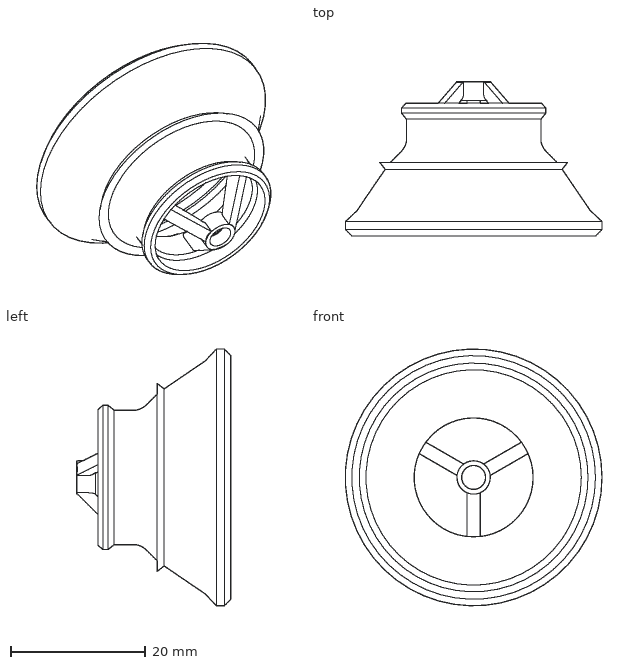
import cadquery as cq

rim_radius = 19.1
rim_face_radius = 18.1
rim_chamfer_end = 1.0
rim_back = 2.18
skirt_start = 3.82
skirt_start_radius = 17.35
skirt_end = 9.95
skirt_end_radius = 13.18
collar_back = 10.95
collar_radius = 14.0
shoulder_radius = 12.4
neck_start = 14.05
neck_radius = 20.05 / 2
neck_blend_start = 12.53
neck_blend_radius = 10.85
neck_mid = 13.25
neck_mid_radius = 10.3
flange_start = 17.4
flange_low = 18.3
flange_high = 19.02
flange_back = 19.8
flange_radius = 21.5 / 2
flange_face_radius = 10.1

mouth_radius = 34 / 2
mouth_land = 0.4
groove_front = 1.05
groove_back = 2.75
groove_radius = 17.35
ledge_front = 3.85
ledge_back = 5.05
ledge_radius = 32.0 / 2
funnel_break = 8.5
funnel_break_radius = 13.6
throat = 12.6
throat_radius = 8.82
lip_start = 16.77
bore_start = 17.45
bore_radius = 18.65 / 2

hub_radius = 2.5
hub_bore_radius = 3.5 / 2
hub_front = 20.15
hub_back = 22.95
spoke_count = 3
spoke_width = 2.0
spoke_top_radius = 2.33
spoke_fillet = 0.55
spoke_recess = 0.05
spoke_root_radius = 2.0
spoke_end_radius = throat_radius + 0.25
spoke_end_front = throat - 0.2


def make_shell():
    """Revolve the wall section; section X is radius and section Y is the station."""
    section = (
        cq.Workplane("XY")
        .moveTo(mouth_radius, 0)
        .lineTo(rim_face_radius, 0)
        .lineTo(rim_radius, rim_chamfer_end)
        .lineTo(rim_radius, rim_back)
        .lineTo(skirt_start_radius, skirt_start)
        .lineTo(skirt_end_radius, skirt_end)
        .lineTo(collar_radius, collar_back)
        .lineTo(shoulder_radius, collar_back)
        .lineTo(neck_blend_radius, neck_blend_start)
        .threePointArc((neck_mid_radius, neck_mid), (neck_radius, neck_start))
        .lineTo(neck_radius, flange_start)
        .lineTo(flange_radius, flange_low)
        .lineTo(flange_radius, flange_high)
        .lineTo(flange_face_radius, flange_back)
        .lineTo(bore_radius, flange_back)
        .lineTo(bore_radius, bore_start)
        .lineTo(throat_radius, lip_start)
        .lineTo(throat_radius, throat)
        .lineTo(funnel_break_radius, funnel_break)
        .lineTo(ledge_radius, ledge_back)
        .lineTo(ledge_radius, ledge_front)
        .lineTo(mouth_radius, groove_back)
        .lineTo(groove_radius, groove_front)
        .lineTo(mouth_radius, mouth_land)
        .close()
    )
    return section.revolve(360, (0, 0, 0), (0, 1, 0))


def make_hub():
    """Bored hub whose front face is a 45 degree countersink."""
    bore_front = hub_front + hub_radius - hub_bore_radius
    section = [
        (hub_bore_radius, bore_front),
        (hub_radius, hub_front),
        (hub_radius, hub_back),
        (hub_bore_radius, hub_back),
    ]
    return cq.Workplane("XY").polyline(section).close().revolve(360, (0, 0, 0), (0, 1, 0))


def make_spoke():
    """Bar sloping from the hub down to the throat wall toward -Z, with rounded inner edges."""
    run = spoke_end_radius - spoke_top_radius
    inner_front = hub_front + spoke_recess
    inner_slope = (inner_front - spoke_end_front) / (spoke_end_radius - hub_radius)
    inner_start = inner_front + inner_slope * (hub_radius - spoke_root_radius)
    profile = [
        (hub_back, -spoke_root_radius),
        (hub_back, -spoke_top_radius),
        (hub_back - run, -spoke_end_radius),
        (spoke_end_front, -spoke_end_radius),
        (inner_start, -spoke_root_radius),
    ]
    inner_middle = (0, (inner_start + spoke_end_front) / 2, -(spoke_root_radius + spoke_end_radius) / 2)
    bar = cq.Workplane("YZ").polyline(profile).close().extrude(spoke_width / 2, both=True)
    return bar.faces(cq.NearestToPointSelector(inner_middle)).edges("not(|X)").fillet(spoke_fillet)


result = make_shell().union(make_hub())
for index in range(spoke_count):
    spoke = make_spoke().rotate((0, 0, 0), (0, 1, 0), index * 360 / spoke_count)
    result = result.union(spoke)